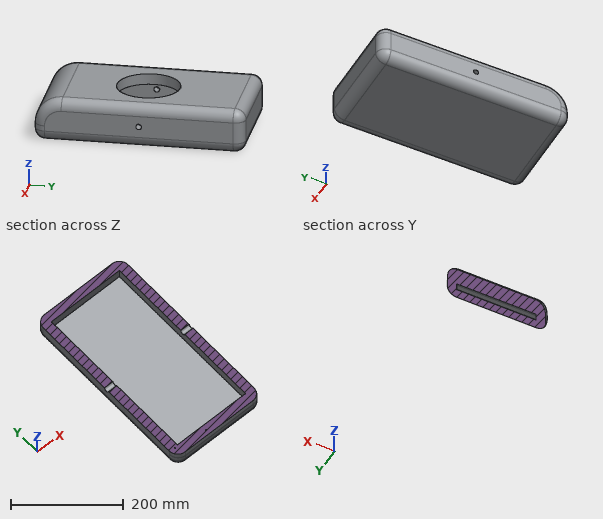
import cadquery as cq

width = 200
length = 380
height = 80
edge_radius = 20
nose_radius = 50

wall = 20
inner_nose_radius = nose_radius - wall

opening_diameter = 114
opening_offset_x = 2.7
opening_offset_y = 0.45

side_hole_diameter = 10
side_hole_height = height / 2


def nosed_block(inset, nose):
    """Block inset evenly from the outer size, with its upper -Y edge rounded into a nose."""
    block = cq.Workplane("XY").box(width - 2 * inset, length - 2 * inset, height - 2 * inset)
    block = block.translate((0, 0, height / 2))
    return block.edges("|X and >Z and <Y").fillet(nose)


def outer_form():
    """Nosed block with the rim of both sides, the rear and the bottom rounded."""
    return nosed_block(0, nose_radius).edges("<X or >X or >Y or <Z").fillet(edge_radius)


def top_opening():
    """Cylinder that opens the top wall into the cavity."""
    return (
        cq.Workplane("XY", origin=(opening_offset_x, opening_offset_y, height - wall))
        .circle(opening_diameter / 2)
        .extrude(wall)
    )


def side_hole():
    """Cylinder along X across the full width."""
    return (
        cq.Workplane("YZ", origin=(-width / 2, 0, side_hole_height))
        .circle(side_hole_diameter / 2)
        .extrude(width)
    )


def build_housing():
    """Hollow housing of even wall thickness, with its openings."""
    cavity = nosed_block(wall, inner_nose_radius)
    return outer_form().cut(cavity).cut(top_opening()).cut(side_hole())


housing = build_housing()

result = cq.Compound.makeCompound([housing.val()])